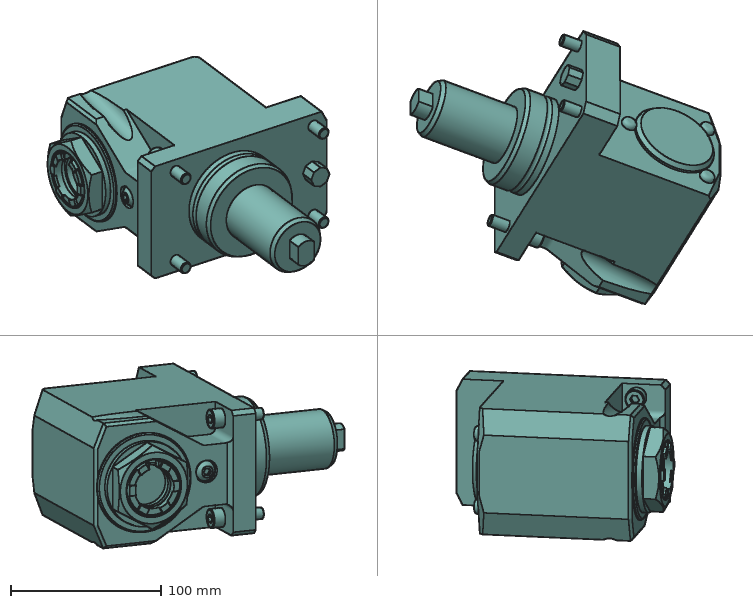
import cadquery as cq
import math

HALF_HEIGHT = 43.0
HEX_SIDES = 6
BODY_FRONT = -60.8
BODY_BACK = 44.0

NOSE_FLAT_HALF = 26.5
NOSE_BEVEL_LENGTH = 7.0
FRONT_CHAMFER = 2.0
BACK_CHAMFER = 1.6
BACK_CORNER_CUT = 4.7
BACK_CORNER_ANGLE = 16

FLANGE_LEFT = 90.5
FLANGE_RIGHT = 115.5
FLANGE_SHOULDER = 99.0
FLANGE_FRONT = -64.1
FLANGE_BACK = 75.8
FLANGE_FRONT_CHAMFER = 3.0
FLANGE_BACK_CHAMFER_Y = 4.1
FLANGE_BACK_CHAMFER_Z = 8.0

POCKET_FLOOR = -34.7
POCKET_START = 41.0
NECK_START = 79.0
NECK_HALF = 21.0
NECK_RADIUS = 5.0
FLANGE_RADIUS = 4.5
WEDGE_LENGTH = 3.0

SCREW_Y = -44.8
SCREW_Z = 34.1
SCREW_BACK_Y = 65.1
SCREW_HEAD_DIAMETER = 13.0
SCREW_HEAD_HEIGHT = 8.5
SCREW_DIAMETER = 8.0
SCREW_REACH = 13.0
SCREW_TIP_CHAMFER = 0.6
SCREW_SOCKET = 6.2
SCREW_SOCKET_DEPTH = 4.1
ACCESS_DIAMETER = 15.6
ACCESS_ANGLE = 10.5
ACCESS_LENGTH = 106.9

PIN_Y = 64.1
PIN_DIAMETER = 14.5
PIN_SIDES = 8
PIN_LENGTH = 10.0

COLLAR_DIAMETER = 68.0
COLLAR_END = 139.3
COLLAR_CHAMFER_LENGTH = 2.9
COLLAR_CHAMFER_DEPTH = 1.5
RING_GROOVE_X = 122.0
RING_GROOVE_HALF = 1.8
RING_GROOVE_DEPTH = 0.8
SHANK_DIAMETER = 40.0
SHANK_TIP_DIAMETER = 36.5
SHANK_END = 195.0
SHANK_CHAMFER_LENGTH = 3.0
TANG_DIAMETER = 18.5
TANG_THICKNESS = 12.7
TANG_END = 205.5

HEAD_X = 35.3
SEAL_DIAMETER = 68.0
SEAL_FACE = -62.7
SEAL_CHAMFER = 1.0
NUT_SEAT_DIAMETER = 58.0
NUT_START = -66.5
NUT_FACE = -77.7
NUT_ACROSS_FLATS = 50.0
NUT_CHAMFER_DIAMETER = 48.7
NUT_CHAMFER_ANGLE = 30
NUT_MOUTH_DIAMETER = 40.0
NUT_BORE = 38.5
NUT_BORE_DEPTH = 5.0
COLLET_DIAMETER = 36.5
COLLET_BORE = 28.0
COLLET_FACE = NUT_FACE
COLLET_BORE_DEPTH = 14.4
BORE_GROOVE_DIAMETER = 32.0
BORE_GROOVE_START = -73.2
BORE_GROOVE_END = -69.5
KEYWAY_WIDTH = 7.0
KEYWAY_END = -72.0
TOOTH_COUNT = 6
TOOTH_WIDTH = 7.0
TOOTH_FACE = -79.3

COVER_DIAMETER = 58.0
COVER_HEIGHT = 4.7
COVER_CHAMFER_HEIGHT = 3.0
COVER_CHAMFER_DEPTH = 2.5
BUTTON_DIAMETER = 10.5
BUTTON_HEIGHT = 3.7
BUTTON_ROUND = 2.7
BUTTON_PLACES = [(11.0, 24.9), (11.0, -24.9), (68.6, 0)]

PLUG_X = 81.2
PLUG_Z = 2.9
PLUG_RECESS_DIAMETER = 15.2
PLUG_RECESS_DEPTH = 2.9
PLUG_DIAMETER = 14.0
PLUG_RISE = 1.2
PLUG_FACE_DIAMETER = 7.8
PLUG_CONE_HEIGHT = 3.0
PLUG_SOCKET = 5.3
PLUG_SOCKET_DEPTH = 2.5


def disc_y(diameter, y_from, y_to, x, z=0):
    """Cylinder along Y between two Y positions."""
    plane = cq.Plane(origin=(x, y_from, z), xDir=(1, 0, 0), normal=(0, 1, 0))
    return cq.Workplane(plane).circle(diameter / 2).extrude(y_to - y_from)


def rod_x(diameter, x_from, x_to, y=0, z=0):
    """Cylinder along X between two X positions."""
    return cq.Workplane("YZ", origin=(x_from, y, z)).circle(diameter / 2).extrude(x_to - x_from)


def make_body():
    """Block with a bevelled nose, chamfered around its front and back."""
    outline = [
        (0, NOSE_FLAT_HALF),
        (NOSE_BEVEL_LENGTH, HALF_HEIGHT),
        (FLANGE_SHOULDER, HALF_HEIGHT),
        (FLANGE_SHOULDER, -HALF_HEIGHT),
        (NOSE_BEVEL_LENGTH, -HALF_HEIGHT),
        (0, -NOSE_FLAT_HALF),
    ]
    block = cq.Workplane("XZ", origin=(0, BODY_BACK, 0)).polyline(outline).close()
    block = block.extrude(BODY_BACK - BODY_FRONT)
    block = block.faces("<Y").chamfer(FRONT_CHAMFER)
    block = block.faces("<X").edges(">Y").chamfer(BACK_CHAMFER)
    for side in (1, -1):
        block = block.cut(back_corner_cutter(side))
    return block


def back_corner_cutter(side):
    """Tilted 45 degree wedge that trims one rear nose corner."""
    reach = 2 * BACK_CORNER_CUT
    wedge = (
        cq.Workplane("XY", origin=(0, BODY_BACK, 0))
        .polyline([(-reach, -BACK_CORNER_CUT - reach), (reach, reach - BACK_CORNER_CUT), (-reach, reach)])
        .close()
        .extrude(2 * HALF_HEIGHT, both=True)
    )
    pivot_z = side * NOSE_FLAT_HALF
    return wedge.rotate((0, 0, pivot_z), (0, 1, pivot_z), side * BACK_CORNER_ANGLE)


def make_flange():
    """Mounting plate with bevelled long edges."""
    profile = [
        (FLANGE_FRONT, HALF_HEIGHT - FLANGE_FRONT_CHAMFER),
        (FLANGE_FRONT + FLANGE_FRONT_CHAMFER, HALF_HEIGHT),
        (FLANGE_BACK - FLANGE_BACK_CHAMFER_Y, HALF_HEIGHT),
        (FLANGE_BACK, HALF_HEIGHT - FLANGE_BACK_CHAMFER_Z),
    ]
    profile += [(y, -z) for y, z in reversed(profile)]
    plate = cq.Workplane("YZ", origin=(FLANGE_LEFT, 0, 0)).polyline(profile).close()
    plate = plate.extrude(FLANGE_RIGHT - FLANGE_LEFT)
    step = (
        cq.Workplane("XY", origin=(0, 0, -HALF_HEIGHT))
        .polyline([
            (FLANGE_LEFT, FLANGE_FRONT),
            (FLANGE_SHOULDER, FLANGE_FRONT),
            (FLANGE_SHOULDER - WEDGE_LENGTH, BODY_FRONT),
            (FLANGE_LEFT, BODY_FRONT),
        ])
        .close()
        .extrude(2 * HALF_HEIGHT)
    )
    return plate.cut(step)


def make_pocket():
    """Cutter for the upper corner pocket beside the neck."""
    outline = [
        (POCKET_START, HALF_HEIGHT),
        (NECK_START, NECK_HALF),
        (FLANGE_SHOULDER, NECK_HALF),
        (FLANGE_SHOULDER, HALF_HEIGHT),
    ]
    cutter = cq.Workplane("XZ", origin=(0, POCKET_FLOOR, 0)).polyline(outline).close()
    cutter = cutter.extrude(POCKET_FLOOR - FLANGE_FRONT)
    middle = (POCKET_FLOOR + FLANGE_FRONT) / 2
    neck_edge = cq.NearestToPointSelector((NECK_START, middle, NECK_HALF))
    flange_edge = cq.NearestToPointSelector((FLANGE_SHOULDER, middle, NECK_HALF))
    return cutter.edges(neck_edge).fillet(NECK_RADIUS).edges(flange_edge).fillet(FLANGE_RADIUS)


def make_access_groove():
    """Inclined round cutter that clears a wrench for the upper flange screw."""
    angle = math.radians(ACCESS_ANGLE)
    plane = cq.Plane(
        origin=(FLANGE_LEFT, SCREW_Y, SCREW_Z),
        xDir=(0, 1, 0),
        normal=(-math.cos(angle), 0, math.sin(angle)),
    )
    return cq.Workplane(plane).circle(ACCESS_DIAMETER / 2).extrude(ACCESS_LENGTH)


def make_front_screw():
    """Socket head screw passing through the flange, upper position."""
    head_face = FLANGE_SHOULDER - SCREW_HEAD_HEIGHT
    head = rod_x(SCREW_HEAD_DIAMETER, head_face, FLANGE_SHOULDER, SCREW_Y, SCREW_Z)
    head = head.faces("<X").chamfer(SCREW_TIP_CHAMFER)
    head = head.faces("<X").workplane().polygon(HEX_SIDES, SCREW_SOCKET).cutBlind(-SCREW_SOCKET_DEPTH)
    return head.union(make_screw_tip(SCREW_Y))


def make_screw_tip(y):
    """Screw end standing out of the shank side of the flange."""
    tip = rod_x(SCREW_DIAMETER, FLANGE_SHOULDER, FLANGE_RIGHT + SCREW_REACH, y, SCREW_Z)
    return tip.faces(">X").chamfer(SCREW_TIP_CHAMFER)


def make_pin():
    """Faceted locating pin on the flange."""
    pin = cq.Workplane("YZ", origin=(FLANGE_RIGHT, PIN_Y, 0))
    return pin.polygon(PIN_SIDES, PIN_DIAMETER).extrude(PIN_LENGTH)


def make_shank():
    """Turned collar and shank with a flat drive tang."""
    collar = COLLAR_DIAMETER / 2
    shank = SHANK_DIAMETER / 2
    turned = (
        cq.Workplane("XY")
        .moveTo(FLANGE_SHOULDER, 0)
        .lineTo(FLANGE_SHOULDER, collar)
        .lineTo(RING_GROOVE_X - RING_GROOVE_HALF, collar)
        .threePointArc(
            (RING_GROOVE_X, collar - RING_GROOVE_DEPTH),
            (RING_GROOVE_X + RING_GROOVE_HALF, collar),
        )
        .lineTo(COLLAR_END - COLLAR_CHAMFER_LENGTH, collar)
        .lineTo(COLLAR_END, collar - COLLAR_CHAMFER_DEPTH)
        .lineTo(COLLAR_END, shank)
        .lineTo(SHANK_END - SHANK_CHAMFER_LENGTH, shank)
        .lineTo(SHANK_END, SHANK_TIP_DIAMETER / 2)
        .lineTo(SHANK_END, 0)
        .close()
        .revolve(360, (0, 0, 0), (1, 0, 0))
    )
    flats = cq.Workplane("YZ").rect(TANG_THICKNESS, TANG_DIAMETER).extrude(TANG_END)
    tang = rod_x(TANG_DIAMETER, COLLAR_END, TANG_END).intersect(flats)
    return turned.union(tang)


def make_nut():
    """Hexagon collet nut, its outer corners turned to a cone."""
    corner_diameter = NUT_ACROSS_FLATS / math.cos(math.pi / HEX_SIDES)
    corner_drop = (corner_diameter - NUT_CHAMFER_DIAMETER) / 2 * math.tan(math.radians(NUT_CHAMFER_ANGLE))
    hexagon = (
        cq.Workplane("XZ", origin=(HEAD_X, NUT_START, 0))
        .transformed(rotate=(0, 0, 180 / HEX_SIDES))
        .polygon(HEX_SIDES, corner_diameter)
        .extrude(NUT_START - NUT_FACE)
    )
    envelope = (
        cq.Workplane("XY")
        .polyline([
            (0, NUT_START),
            (corner_diameter / 2, NUT_START),
            (corner_diameter / 2, NUT_FACE + corner_drop),
            (NUT_CHAMFER_DIAMETER / 2, NUT_FACE),
            (0, NUT_FACE),
        ])
        .close()
        .revolve(360, (0, 0, 0), (0, 1, 0))
        .translate((HEAD_X, 0, 0))
    )
    return hexagon.intersect(envelope)


def make_collet_head():
    """Seal disc, nut seat, nut and toothed collet on the front face."""
    seal = disc_y(SEAL_DIAMETER, SEAL_FACE, BODY_FRONT, HEAD_X).faces("<Y").chamfer(SEAL_CHAMFER)
    head = seal.union(disc_y(NUT_SEAT_DIAMETER, NUT_START, SEAL_FACE, HEAD_X)).union(make_nut())
    bore_floor = NUT_FACE + NUT_BORE_DEPTH
    head = head.cut(disc_y(NUT_BORE, NUT_FACE, bore_floor, HEAD_X))
    mouth_plane = cq.Plane(origin=(HEAD_X, NUT_FACE, 0), xDir=(1, 0, 0), normal=(0, 1, 0))
    mouth = cq.Workplane(mouth_plane).circle(NUT_MOUTH_DIAMETER / 2)
    mouth = mouth.extrude((NUT_MOUTH_DIAMETER - NUT_BORE) / 2, taper=45)
    return head.cut(mouth).union(make_collet(bore_floor))


def make_collet(base):
    """Collet ring with raised teeth and one keyway at the top."""
    collet = disc_y(COLLET_DIAMETER, COLLET_FACE, base, HEAD_X)
    full_ring = disc_y(COLLET_DIAMETER, TOOTH_FACE, base, HEAD_X)
    for index in range(TOOTH_COUNT // 2):
        tooth_pair = (
            cq.Workplane("XY")
            .box(COLLET_DIAMETER, base - TOOTH_FACE, TOOTH_WIDTH)
            .rotate((0, 0, 0), (0, 1, 0), index * 360 / TOOTH_COUNT)
            .translate((HEAD_X, (base + TOOTH_FACE) / 2, 0))
        )
        collet = collet.union(full_ring.intersect(tooth_pair))
    keyway = cq.Workplane("XY").box(
        KEYWAY_WIDTH, KEYWAY_END - COLLET_FACE, COLLET_DIAMETER / 2, centered=(True, False, False)
    )
    return collet.cut(keyway.translate((HEAD_X, COLLET_FACE, 0)))


def make_collet_bore():
    """Cutter for the blind collet bore and the ring groove inside it."""
    bore = disc_y(COLLET_BORE, TOOTH_FACE, TOOTH_FACE + COLLET_BORE_DEPTH, HEAD_X)
    return bore.union(disc_y(BORE_GROOVE_DIAMETER, BORE_GROOVE_START, BORE_GROOVE_END, HEAD_X))


def make_cover():
    """Round rear cover with three button head screws."""
    top = BODY_BACK + COVER_HEIGHT
    cover = disc_y(COVER_DIAMETER, BODY_BACK, top, HEAD_X)
    cover = cover.faces(">Y").chamfer(COVER_CHAMFER_HEIGHT, COVER_CHAMFER_DEPTH)
    for x, z in BUTTON_PLACES:
        button = disc_y(BUTTON_DIAMETER, BODY_BACK, BODY_BACK + BUTTON_HEIGHT, x, z)
        cover = cover.union(button.faces(">Y").fillet(BUTTON_ROUND))
    return cover


def make_plug():
    """Button head plug screw with a hexagon socket."""
    face = BODY_FRONT - PLUG_RISE
    plug = disc_y(PLUG_DIAMETER, face, BODY_FRONT + PLUG_RECESS_DEPTH, PLUG_X, PLUG_Z)
    plug = plug.faces("<Y").chamfer(PLUG_CONE_HEIGHT, (PLUG_DIAMETER - PLUG_FACE_DIAMETER) / 2)
    return plug.faces("<Y").workplane().polygon(HEX_SIDES, PLUG_SOCKET).cutBlind(-PLUG_SOCKET_DEPTH)


upper_cutters = make_pocket().union(make_access_groove())
part = make_body().union(make_flange())
part = part.cut(upper_cutters).cut(upper_cutters.mirror("XY"))
part = part.cut(disc_y(PLUG_RECESS_DIAMETER, BODY_FRONT, BODY_FRONT + PLUG_RECESS_DEPTH, PLUG_X, PLUG_Z))
part = part.union(make_plug()).union(make_shank()).union(make_pin()).union(make_cover())
for screw in (make_front_screw(), make_screw_tip(SCREW_BACK_Y)):
    part = part.union(screw).union(screw.mirror("XY"))
part = part.union(make_collet_head())
result = part.cut(make_collet_bore())